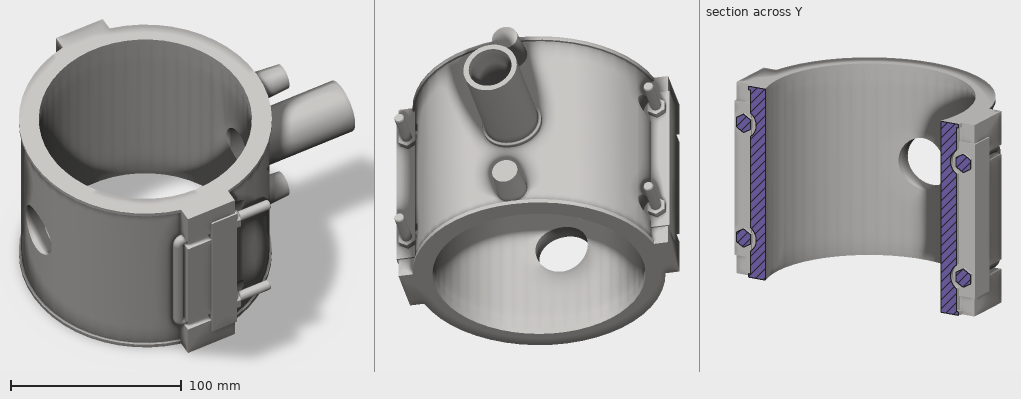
import cadquery as cq
import math

height = 118.0
bore_radius = 62.5
rim_radius = 74.2
wall_radius = 72.7
rim_height = 2.5

lug_reach = 81.0
lug_depth = 15.6

plate_thickness = 1.0
plate_height = 95.0
plate_inner_x = 70.7

bolt_diameter = 6.0
bolt_x = 74.8
bolt_leg_z = 35.3
bolt_tip_y = 41.7
bar_gap = 0.2
bend_radius = 3.0
tip_chamfer_radial = 0.5
tip_chamfer_length = 0.8

nut_flats = 10.0
nut_thickness = 3.7
clearance_diameter = 17.0

pipe_diameter = 32.0
pipe_bore = 25.7
pipe_end_y = 131.3
collar_diameter = 35.1
collar_radius = 75.5
collar_rounding = 0.6

opening_diameter = 31.5

boss_z = 47.3
boss_end_y = 92.0
boss_end_diameter = 15.2
boss_root_diameter = 18.0

lug_slot_width = bolt_diameter
plate_face_y = lug_depth + plate_thickness
plate_reach = lug_reach + plate_thickness
bar_y = -lug_depth - bar_gap - bolt_diameter / 2
boss_root_y = wall_radius
hidden_root_y = (bore_radius + wall_radius) / 2


def box(x_range, y_range, z_range):
    """Box between pairs of limits along X, Y and Z."""
    sizes = [high - low for low, high in (x_range, y_range, z_range)]
    corner = (x_range[0], y_range[0], z_range[0])
    return cq.Workplane("XY").box(*sizes, centered=False).translate(corner)


def rod_along_y(diameter, start_y, end_y, x=0, z=0):
    """Round rod along +Y from start_y to end_y."""
    rod = cq.Solid.makeCylinder(
        diameter / 2, end_y - start_y, cq.Vector(x, start_y, z), cq.Vector(0, 1, 0)
    )
    return cq.Workplane(obj=rod)


def cylinder_along_z(radius, length, center_z=0):
    """Cylinder on the ring axis, centred at center_z."""
    return cq.Workplane("XY").circle(radius).extrude(length / 2, both=True).translate((0, 0, center_z))


def make_shell():
    """Outer ring with end rims and the two lugs; the bore is cut later."""
    shell = cylinder_along_z(wall_radius, height)
    for side in (1, -1):
        rim_z = side * (height - rim_height) / 2
        shell = shell.union(cylinder_along_z(rim_radius, rim_height, rim_z))
    lugs = cq.Workplane("XY").box(2 * lug_reach, 2 * lug_depth, height)
    return shell.union(lugs)


def make_lug_cuts():
    """Open bolt slots in the -Y half and nut clearances in the +Y half of the +X side."""
    cuts = cq.Workplane("XY")
    for leg_z in (bolt_leg_z, -bolt_leg_z):
        slot_limits = (leg_z - lug_slot_width / 2, leg_z + lug_slot_width / 2)
        slot = box((bolt_x, plate_reach), (-lug_depth, 0), slot_limits)
        clearance = rod_along_y(clearance_diameter, lug_depth, bolt_tip_y, bolt_x, leg_z)
        cuts = cuts.add(slot).add(clearance)
    return cuts.combine()


def make_plate():
    """Angle plate over the outer and +Y faces of the +X lug."""
    z_limits = (-plate_height / 2, plate_height / 2)
    side_leg = box((lug_reach, plate_reach), (0, plate_face_y), z_limits)
    face_leg = box((plate_inner_x, plate_reach), (lug_depth, plate_face_y), z_limits)
    return side_leg.union(face_leg)


def make_nut(leg_z):
    """Hexagon nut seated on the plate, with two corners pointing along Z."""
    corner_diameter = nut_flats / math.cos(math.pi / 6)
    nut = cq.Workplane("XZ").polygon(6, corner_diameter).extrude(-nut_thickness)
    nut = nut.rotate((0, 0, 0), (0, 1, 0), 90)
    return nut.translate((bolt_x, plate_face_y, leg_z))


def make_bolt():
    """U-bolt with its legs along Y and its bar along Z behind the +X lug."""
    bend_start_y = bar_y + bend_radius
    bend_end_z = bolt_leg_z - bend_radius
    path = (
        cq.Workplane("YZ", origin=(bolt_x, 0, 0))
        .moveTo(bolt_tip_y, bolt_leg_z)
        .lineTo(bend_start_y, bolt_leg_z)
        .tangentArcPoint((bar_y, bend_end_z), relative=False)
        .lineTo(bar_y, -bend_end_z)
        .tangentArcPoint((bend_start_y, -bolt_leg_z), relative=False)
        .lineTo(bolt_tip_y, -bolt_leg_z)
    )
    section = cq.Workplane("XZ", origin=(bolt_x, bolt_tip_y, bolt_leg_z)).circle(bolt_diameter / 2)
    bolt = section.sweep(path)
    return bolt.faces(">Y").chamfer(tip_chamfer_length, tip_chamfer_radial)


def make_pipe():
    """Branch pipe with the saddle-shaped weld collar at its root; the bore is cut later."""
    pipe = rod_along_y(pipe_diameter, hidden_root_y, pipe_end_y)
    collar = rod_along_y(collar_diameter, hidden_root_y, pipe_end_y)
    collar = collar.intersect(cylinder_along_z(collar_radius, height))
    return pipe.union(collar.faces(">Y").edges().fillet(collar_rounding))


def make_boss(boss_center_z):
    """Tapered boss, its taper carried on into the wall."""
    taper = (boss_root_diameter - boss_end_diameter) / (boss_end_y - boss_root_y)
    hidden_diameter = boss_end_diameter + taper * (boss_end_y - hidden_root_y)
    cone = cq.Solid.makeCone(
        hidden_diameter / 2,
        boss_end_diameter / 2,
        boss_end_y - hidden_root_y,
        cq.Vector(0, hidden_root_y, boss_center_z),
        cq.Vector(0, 1, 0),
    )
    return cq.Workplane(obj=cone)


lug_cuts = make_lug_cuts()
hardware = make_plate().union(make_bolt())
for leg_z in (bolt_leg_z, -bolt_leg_z):
    hardware = hardware.union(make_nut(leg_z))

body = make_shell()
body = body.cut(lug_cuts).cut(lug_cuts.mirror("YZ"))
body = body.union(hardware).union(hardware.mirror("YZ"))

body = body.union(make_pipe())
for boss_center_z in (boss_z, -boss_z):
    body = body.union(make_boss(boss_center_z))

body = body.cut(cylinder_along_z(bore_radius, height))
body = body.cut(rod_along_y(pipe_bore, 0, pipe_end_y))
body = body.cut(rod_along_y(opening_diameter, -rim_radius, 0))

result = body